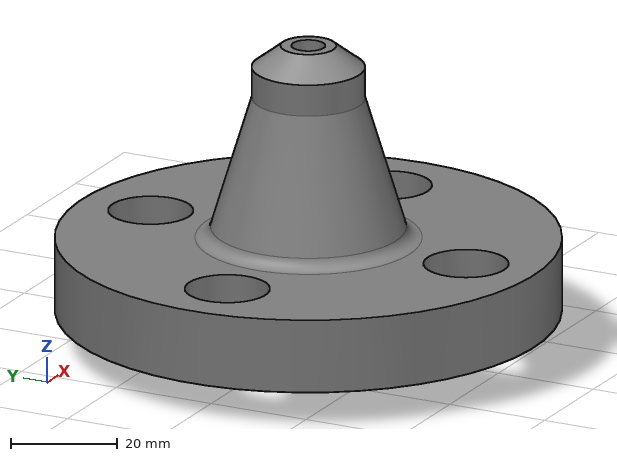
import cadquery as cq

flange_diameter = 95.2
flange_thickness = 14.4
raised_face_diameter = 35.0
raised_face_height = 6.3

total_height = 58.7
neck_diameter = 21.3
tip_diameter = 10.5
bevel_height = 4.2
neck_height = 6.1
hub_base_diameter = 38.1
hub_fillet_radius = 3.0
selection_margin = 0.1

bore_diameter = 6.4
bolt_circle_diameter = 66.5
bolt_hole_diameter = 16.0
bolt_hole_count = 4

flange_bottom = raised_face_height
flange_top = flange_bottom + flange_thickness
bevel_bottom = total_height - bevel_height
neck_bottom = bevel_bottom - neck_height


def turned_body():
    """Solid of revolution: raised face, flange disc, tapered hub, neck and weld bevel."""
    profile = [
        (0, 0),
        (raised_face_diameter / 2, 0),
        (raised_face_diameter / 2, flange_bottom),
        (flange_diameter / 2, flange_bottom),
        (flange_diameter / 2, flange_top),
        (hub_base_diameter / 2, flange_top),
        (neck_diameter / 2, neck_bottom),
        (neck_diameter / 2, bevel_bottom),
        (tip_diameter / 2, total_height),
        (0, total_height),
    ]
    body = cq.Workplane("XZ").polyline(profile).close().revolve(360, (0, 0), (0, 1))
    return body


def fillet_hub_foot(body):
    """Round the inside corner where the tapered hub meets the flange."""
    reach = hub_base_diameter / 2 + selection_margin
    foot = cq.selectors.BoxSelector(
        (-reach, -reach, flange_top - selection_margin),
        (reach, reach, flange_top + selection_margin),
        boundingbox=True,
    )
    return body.edges(foot).fillet(hub_fillet_radius)


def through_holes():
    """Central bore and the bolt holes, as cutting cylinders along Z."""
    bore = cq.Workplane("XY").circle(bore_diameter / 2).extrude(total_height)
    bolts = (
        cq.Workplane("XY")
        .polarArray(bolt_circle_diameter / 2, 0, 360, bolt_hole_count)
        .circle(bolt_hole_diameter / 2)
        .extrude(flange_top)
    )
    return bore.union(bolts)


body = fillet_hub_foot(turned_body())
result = body.cut(through_holes())